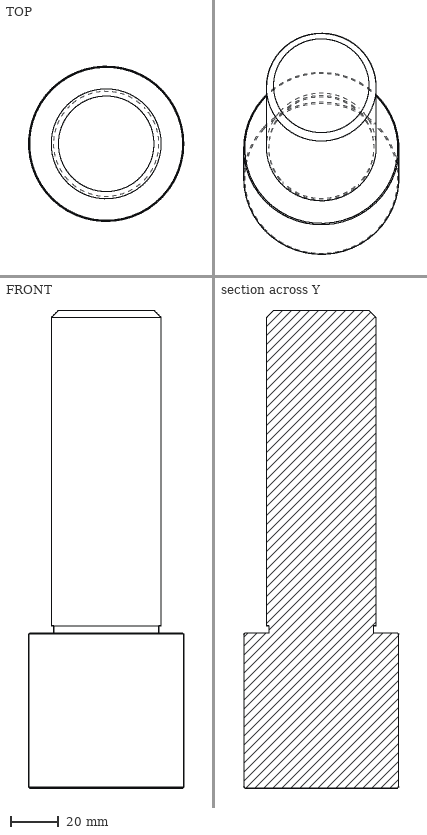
import cadquery as cq

total_height = 200.0
head_diameter = 65.0
head_height = 65.0
head_edge_chamfer = 0.5

shank_diameter = 46.0
tip_chamfer = 3.0
neck_diameter = 44.0
neck_height = 3.0


def make_head():
    """Cylindrical head standing on Z = 0, with both rims broken."""
    head = cq.Workplane("XY").circle(head_diameter / 2).extrude(head_height)
    return head.edges("%CIRCLE").chamfer(head_edge_chamfer)


def make_neck():
    """Relief groove: a short, thinner length just above the head."""
    neck = cq.Workplane("XY").workplane(offset=head_height)
    return neck.circle(neck_diameter / 2).extrude(neck_height)


def make_shank():
    """Plain shank with a chamfered tip."""
    shank_base = head_height + neck_height
    shank = cq.Workplane("XY").workplane(offset=shank_base)
    shank = shank.circle(shank_diameter / 2).extrude(total_height - shank_base)
    return shank.faces(">Z").chamfer(tip_chamfer)


result = make_head().union(make_neck()).union(make_shank())